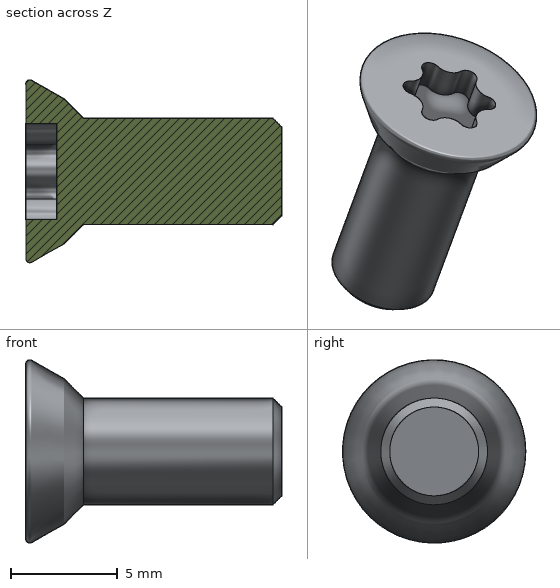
import cadquery as cq
import math

length = 12.0
head_radius = 4.3
shank_diameter = 5.0
shank_radius = shank_diameter / 2
tip_chamfer = 0.42

head_height = 2.71
cone_break_x = 1.81
rim_radius = 0.19
cone_angle = math.radians(30)

lobe_count = 6
lobe_tip_reach = 2.25
valley_reach = 1.61
lobe_radius = 0.45
socket_depth = 1.45


def make_body():
    """Revolve the half profile of head and shank about the X axis."""
    rim_center_radius = head_radius - rim_radius
    rim_end = (
        rim_radius * (1 + math.sin(cone_angle)),
        rim_center_radius + rim_radius * math.cos(cone_angle),
    )
    cone_break_radius = shank_radius + head_height - cone_break_x
    profile = (
        cq.Workplane("XY")
        .lineTo(0, rim_center_radius)
        .threePointArc((rim_radius, head_radius), rim_end)
        .lineTo(cone_break_x, cone_break_radius)
        .lineTo(head_height, shank_radius)
        .lineTo(length - tip_chamfer, shank_radius)
        .lineTo(length, shank_radius - tip_chamfer)
        .lineTo(length, 0)
        .close()
    )
    return profile.revolve(360, (0, 0, 0), (1, 0, 0))


def polar(radius, angle):
    return (radius * math.cos(angle), radius * math.sin(angle))


def make_socket():
    """Extrude the six-lobe outline, built from tangent lobe and valley arcs."""
    half_pitch = math.pi / lobe_count
    lobe_center = lobe_tip_reach - lobe_radius

    along = lobe_center * math.cos(half_pitch)
    across = lobe_center * math.sin(half_pitch)
    gap = valley_reach - along
    valley_radius = (lobe_radius**2 - across**2 - gap**2) / (2 * (gap - lobe_radius))
    valley_center = valley_reach + valley_radius

    share = lobe_radius / (lobe_radius + valley_radius)
    valley_x, valley_y = polar(valley_center, half_pitch)
    tangent_x = lobe_center + share * (valley_x - lobe_center)
    tangent_y = share * valley_y
    tangent_reach = math.hypot(tangent_x, tangent_y)
    tangent_angle = math.atan2(tangent_y, tangent_x)

    outline = cq.Workplane("YZ").moveTo(*polar(tangent_reach, -tangent_angle))
    for index in range(lobe_count):
        lobe_angle = 2 * half_pitch * index
        next_angle = lobe_angle + 2 * half_pitch
        outline = outline.threePointArc(
            polar(lobe_tip_reach, lobe_angle),
            polar(tangent_reach, lobe_angle + tangent_angle),
        ).threePointArc(
            polar(valley_reach, lobe_angle + half_pitch),
            polar(tangent_reach, next_angle - tangent_angle),
        )
    return outline.close().extrude(socket_depth)


result = make_body().cut(make_socket())